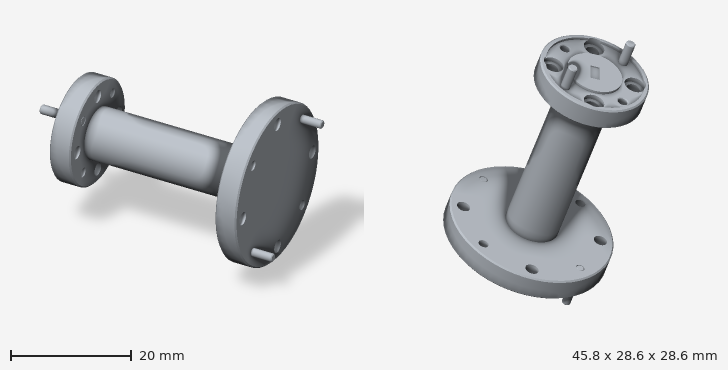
import cadquery as cq
import math

overall_length = 45.85
flange_thickness = 4.0
pin_projection = 3.9
small_flange_start = -overall_length / 2 + pin_projection
small_flange_end = small_flange_start + flange_thickness
large_flange_end = overall_length / 2 - pin_projection
large_flange_start = large_flange_end - flange_thickness

tube_radius = 4.65
small_flange_radius = 9.5
large_flange_radius = 28.55 / 2
flange_chamfer = 0.25

boss_radius = 4.75
rim_inner_radius = 8.6
recess_depth = 0.5
counterbore_radius = 1.8
counterbore_depth = 1.38

opening_width = 1.55
opening_height = 3.2
opening_depth = 0.25

small_bolt_circle_radius = 7.1
large_bolt_circle_radius = 11.9
bolt_hole_radius = 1.15
small_alignment_hole_radius = 0.83
small_alignment_hole_chamfer = 0.15
large_alignment_hole_radius = 0.85
bolt_angles = [0, 90, 180, 270]
rising_diagonal_angles = [45, 225]
falling_diagonal_angles = [135, 315]

small_pin_radius = 0.83
large_pin_radius = 0.75
pin_chamfer = 0.16


def cylinder(start, end, radius):
    """Cylinder centred on the X axis between two stations."""
    return cq.Workplane("YZ", origin=(start, 0, 0)).circle(radius).extrude(end - start)


def on_circle(radius, angles):
    """Points (Y, Z) on a circle, with angles in degrees from +Y towards +Z."""
    return [
        (radius * math.cos(math.radians(angle)), radius * math.sin(math.radians(angle)))
        for angle in angles
    ]


def hole_cutters(start, end, radius, points):
    """Cylinders parallel to X, one at each (Y, Z) point."""
    return cq.Workplane("YZ", origin=(start, 0, 0)).pushPoints(points).circle(radius).extrude(end - start)


small_bolt_points = on_circle(small_bolt_circle_radius, bolt_angles)
small_pin_points = on_circle(small_bolt_circle_radius, falling_diagonal_angles)
small_alignment_points = on_circle(small_bolt_circle_radius, rising_diagonal_angles)
large_bolt_points = on_circle(large_bolt_circle_radius, bolt_angles)
large_pin_points = on_circle(large_bolt_circle_radius, rising_diagonal_angles)
large_alignment_points = on_circle(large_bolt_circle_radius, falling_diagonal_angles)


def make_flange_disc(start, radius):
    """Plain flange with both rims chamfered."""
    return cylinder(start, start + flange_thickness, radius).faces("<X or >X").chamfer(flange_chamfer)


def make_small_flange():
    start, end = small_flange_start, small_flange_end
    flange = make_flange_disc(start, small_flange_radius)

    recess_floor = start + recess_depth
    boss = cylinder(start, recess_floor, boss_radius)
    flange = flange.cut(cylinder(start, recess_floor, rim_inner_radius).cut(boss))

    flange = flange.cut(hole_cutters(start, start + counterbore_depth, counterbore_radius, small_bolt_points))
    flange = flange.cut(hole_cutters(start, end, bolt_hole_radius, small_bolt_points))

    flange = flange.cut(hole_cutters(start, end, small_pin_radius, small_pin_points))

    flange = flange.cut(hole_cutters(start, end, small_alignment_hole_radius, small_alignment_points))
    mouths = (
        cq.Workplane("YZ", origin=(recess_floor, 0, 0))
        .pushPoints(small_alignment_points)
        .circle(small_alignment_hole_radius + small_alignment_hole_chamfer)
        .extrude(small_alignment_hole_chamfer, taper=45)
    )
    return flange.cut(mouths)


def make_large_flange():
    flange = make_flange_disc(large_flange_start, large_flange_radius)
    holes = [
        (bolt_hole_radius, large_bolt_points),
        (large_alignment_hole_radius, large_alignment_points),
        (large_pin_radius, large_pin_points),
    ]
    for radius, points in holes:
        flange = flange.cut(hole_cutters(large_flange_start, large_flange_end, radius, points))
    return flange


def make_housing():
    """Both flanges and the tube between them, with the shallow waveguide opening in the boss."""
    tube = cylinder(small_flange_end, large_flange_start, tube_radius)
    opening = (
        cq.Workplane("YZ", origin=(small_flange_start, 0, 0))
        .rect(opening_width, opening_height)
        .extrude(opening_depth)
    )
    return make_small_flange().union(tube).union(make_large_flange()).cut(opening)


def make_pin(start, end, radius, point):
    """Dowel pin that fills its flange hole, chamfered at both ends."""
    pin = hole_cutters(start, end, radius, [point])
    return pin.faces("<X or >X").chamfer(pin_chamfer)


housing = make_housing()
small_flange_pins = [
    make_pin(-overall_length / 2, small_flange_end, small_pin_radius, point)
    for point in small_pin_points
]
large_flange_pins = [
    make_pin(large_flange_start, overall_length / 2, large_pin_radius, point)
    for point in large_pin_points
]
pins = small_flange_pins + large_flange_pins

result = cq.Compound.makeCompound([housing.val(), *[pin.val() for pin in pins]])